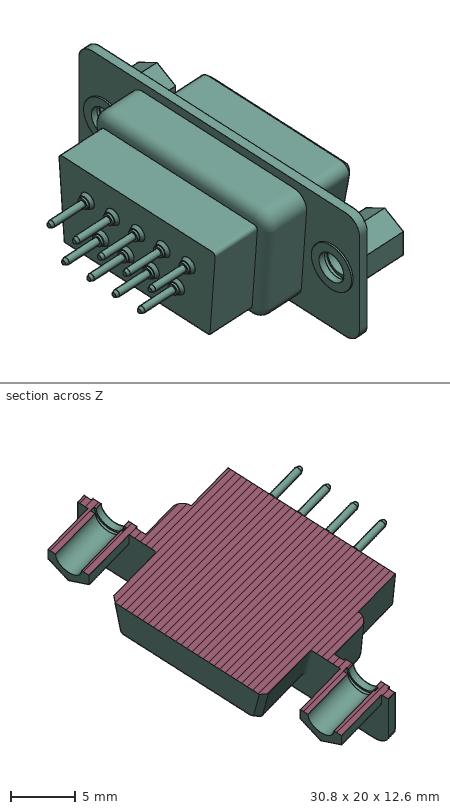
import cadquery as cq
import math


FLANGE_WIDTH = 30.81
FLANGE_HEIGHT = 12.55
FLANGE_THICKNESS = 0.85
FLANGE_CORNER_RADIUS = 1.5

SHELL_OFFSET_X = -0.05

HOUSING_WIDTH = 19.3
HOUSING_HEIGHT = 10.86
HOUSING_DEPTH = 4.36
HOUSING_TOP_RADIUS = 1.4
HOUSING_BOTTOM_RADIUS = 1.23
HOUSING_EDGE_RADIUS = 1.05
HOUSING_SIDE_ANGLE = 4.0

BLOCK_WIDTH = 17.14
BLOCK_HEIGHT = 8.62
BLOCK_FRONT = 9.02
BLOCK_TOP_RADIUS = 0.35
BLOCK_BOTTOM_RADIUS = 0.12

MATING_WIDTH = 16.36
MATING_HEIGHT = 7.9
MATING_BACK = 6.7
MATING_CORNER_RADIUS = 0.92
MATING_SIDE_ANGLE = 10.0
MATING_CHAMFER = 0.5
MATING_BASE_FILLET = 0.25

MOUNT_SPACING = 25.0
RIVET_DIAMETER = 4.4
RIVET_HEIGHT = 0.18
RIVET_HOLE_DIAMETER = 2.72
RIVET_HOLE_END = 0.45
RECESS_DIAMETER = 3.1
POST_OFFSET_X = -0.15
POST_ACROSS_FLATS = 4.1
POST_BACK = 5.87
POST_HOLE_DIAMETER = 2.56

PIN_PITCH = 2.77
PIN_ROW_SPACING = 2.84
UPPER_PIN_COUNT = 5
LOWER_PIN_COUNT = 4
UPPER_ROW_OFFSET_X = 0.05
LOWER_ROW_OFFSET_X = 0.26
PIN_RADIUS = 0.33
PIN_TIP_RADIUS = 0.21
PIN_TIP_LENGTH = 0.3
PIN_END = 13.28
CONE_BASE_RADIUS = 0.75
CONE_END_RADIUS = 0.58
CONE_LENGTH = 0.35
COLLAR_RADIUS = 0.5
COLLAR_LENGTH = 0.22


def front_plane(y):
    """Sketch plane at depth y with local X along +X, local Y along +Z and its normal along -Y."""
    return cq.Workplane("XZ", origin=(0, y, 0))


def d_profile(width, height, top_radius, bottom_radius, side_angle, y_front, y_back):
    """Trapezoid prism, wide side up, with rounded corners; width is the overall width after rounding."""
    angle = math.radians(side_angle)
    half_height = height / 2
    overhang = top_radius * (math.tan(math.pi / 4 + angle / 2) - 1)
    top_half = width / 2 + overhang
    bottom_half = top_half - height * math.tan(angle)
    return (
        front_plane(y_back)
        .center(SHELL_OFFSET_X, 0)
        .polyline([
            (-top_half, half_height),
            (top_half, half_height),
            (bottom_half, -half_height),
            (-bottom_half, -half_height),
        ])
        .close()
        .extrude(y_back - y_front)
        .edges("|Y and >Z")
        .fillet(top_radius)
        .edges("|Y and <Z")
        .fillet(bottom_radius)
    )


def make_flange():
    return (
        front_plane(FLANGE_THICKNESS)
        .rect(FLANGE_WIDTH, FLANGE_HEIGHT)
        .extrude(FLANGE_THICKNESS)
        .edges("|Y")
        .fillet(FLANGE_CORNER_RADIUS)
    )


def make_housing():
    housing = d_profile(
        HOUSING_WIDTH, HOUSING_HEIGHT, HOUSING_TOP_RADIUS, HOUSING_BOTTOM_RADIUS,
        HOUSING_SIDE_ANGLE, -HOUSING_DEPTH, 0,
    )
    return housing.faces("<Y").edges().fillet(HOUSING_EDGE_RADIUS)


def make_block():
    return d_profile(
        BLOCK_WIDTH, BLOCK_HEIGHT, BLOCK_TOP_RADIUS, BLOCK_BOTTOM_RADIUS,
        HOUSING_SIDE_ANGLE, -BLOCK_FRONT, 0,
    )


def make_mating_shell():
    shell = d_profile(
        MATING_WIDTH, MATING_HEIGHT, MATING_CORNER_RADIUS, MATING_CORNER_RADIUS,
        MATING_SIDE_ANGLE, FLANGE_THICKNESS, MATING_BACK,
    )
    return shell.faces(">Y").edges().chamfer(MATING_CHAMFER)


def fillet_mating_base(body):
    """Round the inner corner where the mating shell meets the flange back."""
    reach = 0.1
    base_zone = cq.selectors.BoxSelector(
        (-MATING_WIDTH / 2 - reach + SHELL_OFFSET_X, FLANGE_THICKNESS - reach, -MATING_HEIGHT / 2 - reach),
        (MATING_WIDTH / 2 + reach + SHELL_OFFSET_X, FLANGE_THICKNESS + reach, MATING_HEIGHT / 2 + reach),
        boundingbox=True,
    )
    return body.edges(base_zone).fillet(MATING_BASE_FILLET)


def add_mount(body, x):
    """Add a rivet ring and a hexagonal post at x, bored through with a wider recess where they meet."""
    post_x = x + POST_OFFSET_X
    across_corners = POST_ACROSS_FLATS / math.cos(math.pi / 6)
    rivet = front_plane(0).center(x, 0).circle(RIVET_DIAMETER / 2).extrude(RIVET_HEIGHT)
    post = (
        front_plane(POST_BACK)
        .center(post_x, 0)
        .transformed(rotate=(0, 0, 90))
        .polygon(6, across_corners)
        .extrude(POST_BACK - FLANGE_THICKNESS)
    )
    rivet_hole = (
        front_plane(RIVET_HOLE_END)
        .center(x, 0)
        .circle(RIVET_HOLE_DIAMETER / 2)
        .extrude(RIVET_HOLE_END + RIVET_HEIGHT)
    )
    recess = (
        front_plane(FLANGE_THICKNESS)
        .center(x, 0)
        .circle(RECESS_DIAMETER / 2)
        .extrude(FLANGE_THICKNESS - RIVET_HOLE_END)
    )
    post_hole = (
        front_plane(POST_BACK)
        .center(post_x, 0)
        .circle(POST_HOLE_DIAMETER / 2)
        .extrude(POST_BACK - FLANGE_THICKNESS)
    )
    return body.union(rivet).union(post).cut(rivet_hole).cut(recess).cut(post_hole)


def make_pin(x, z):
    """Pin with a tapered base, a collar and a chamfered tip, turned about an axis along Y."""
    cone_end = BLOCK_FRONT + CONE_LENGTH
    collar_end = cone_end + COLLAR_LENGTH
    return (
        cq.Workplane("XY")
        .polyline([
            (0, -BLOCK_FRONT),
            (CONE_BASE_RADIUS, -BLOCK_FRONT),
            (CONE_END_RADIUS, -cone_end),
            (COLLAR_RADIUS, -cone_end),
            (COLLAR_RADIUS, -collar_end),
            (PIN_RADIUS, -collar_end),
            (PIN_RADIUS, -PIN_END + PIN_TIP_LENGTH),
            (PIN_TIP_RADIUS, -PIN_END),
            (0, -PIN_END),
        ])
        .close()
        .revolve(360, (0, 0, 0), (0, 1, 0))
        .translate((x, 0, z))
    )


def add_pin_row(body, count, offset_x, z):
    for index in range(count):
        x = offset_x + (index - (count - 1) / 2) * PIN_PITCH
        body = body.union(make_pin(x, z))
    return body


result = make_flange().union(make_mating_shell())
result = fillet_mating_base(result)
result = result.union(make_housing()).union(make_block())
for side in (-1, 1):
    result = add_mount(result, side * MOUNT_SPACING / 2)
result = add_pin_row(result, UPPER_PIN_COUNT, UPPER_ROW_OFFSET_X, PIN_ROW_SPACING / 2)
result = add_pin_row(result, LOWER_PIN_COUNT, LOWER_ROW_OFFSET_X, -PIN_ROW_SPACING / 2)